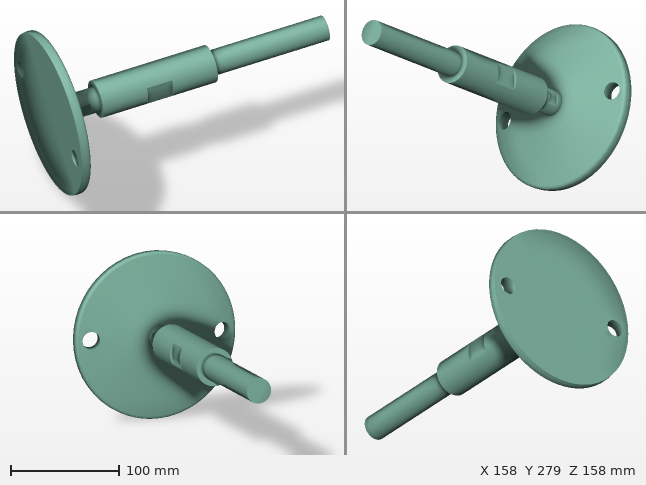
import cadquery as cq
import math

total_length = 279.0
rim_taper_height = 4.2
rim_corner = 9.2
cone_end = 21.0
stem_flat_start = 26.2
stem_flat_length = 12.0
sleeve_start = 48.3
sleeve_length = 115.2
sleeve_flat_length = 25.5

foot_diameter = 158.0
underside_diameter = 156.8
stem_diameter = 24.0
sleeve_diameter = 36.0
stem_across_flats = 19.5
sleeve_across_flats = 29.9
rim_fillet = 3.0
selection_margin = 0.3

hole_diameter = 16.5
hole_offset = 62.5
hole_tool_length = 83.7

foot_radius = foot_diameter / 2
stem_radius = stem_diameter / 2
cone_angle = math.atan2(cone_end - rim_corner, foot_radius - stem_radius)


def cylinder(diameter, start, length):
    """Cylinder about the Y axis, extending toward +Y from start."""
    return cq.Workplane("XY").add(
        cq.Solid.makeCylinder(diameter / 2, length, cq.Vector(0, start, 0), cq.Vector(0, 1, 0))
    )


def revolve_profile(points):
    """Solid of revolution about Y from a closed (radius, y) outline."""
    return cq.Workplane("XY").polyline(points).close().revolve(360, (0, 0), (0, 1))


def cut_flats(body, diameter, across_flats, start, length):
    """Cut a pair of wrench flats facing -X and +X."""
    depth = (diameter - across_flats) / 2
    for side in (-1, 1):
        cutter = cq.Workplane("XY").box(depth, length, diameter).translate(
            (side * (across_flats + depth) / 2, start + length / 2, 0)
        )
        body = body.cut(cutter)
    return body


def drill_mounting_holes(body):
    """Two through holes that lean outward with the cone's surface normal."""
    for side in (-1, 1):
        axis = cq.Vector(side * math.sin(cone_angle), math.cos(cone_angle), 0)
        start = cq.Vector(side * hole_offset, 0, 0) - axis * (hole_tool_length / 2)
        drill = cq.Solid.makeCylinder(hole_diameter / 2, hole_tool_length, start, axis)
        body = body.cut(cq.Workplane("XY").add(drill))
    return body


def make_foot():
    """Conical foot with a rounded rim that narrows slightly toward the floor."""
    foot = revolve_profile([
        (0, 0),
        (underside_diameter / 2, 0),
        (foot_radius, rim_taper_height),
        (foot_radius, rim_corner),
        (stem_radius, cone_end),
        (0, cone_end),
    ])
    rim_band = cq.selectors.BoxSelector(
        (-foot_diameter, rim_corner - selection_margin, -foot_diameter),
        (foot_diameter, rim_corner + selection_margin, foot_diameter),
    )
    foot = foot.edges(rim_band).fillet(rim_fillet)
    return drill_mounting_holes(foot)


def make_stem():
    """Long rod with a thicker sleeve section, each with wrench flats."""
    rod = cylinder(stem_diameter, cone_end, total_length - cone_end)
    rod = cut_flats(rod, stem_diameter, stem_across_flats, stem_flat_start, stem_flat_length)
    sleeve = cylinder(sleeve_diameter, sleeve_start, sleeve_length)
    flat_start = sleeve_start + (sleeve_length - sleeve_flat_length) / 2
    sleeve = cut_flats(sleeve, sleeve_diameter, sleeve_across_flats, flat_start, sleeve_flat_length)
    return rod.union(sleeve)


foot = make_foot()
stem = make_stem()

result = cq.Compound.makeCompound([foot.val(), stem.val()])